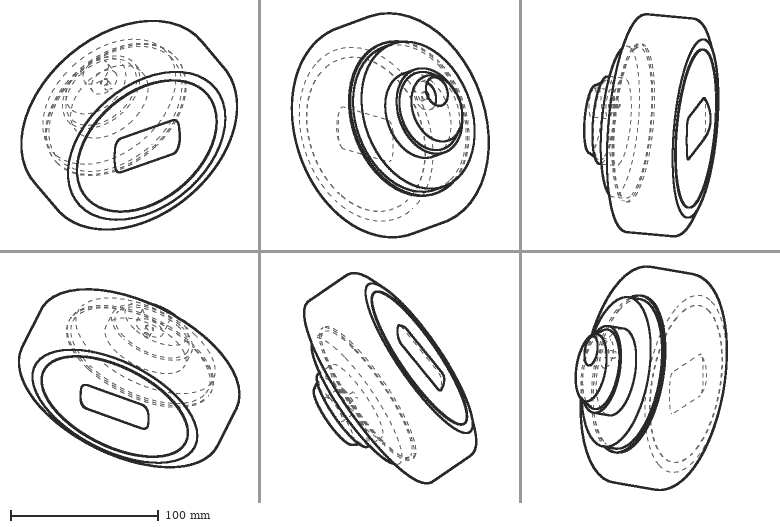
import cadquery as cq
import math

cone_end = 7.6
hub_end = 19.2
flange_end = 27.9
wheel_front = 29.2
wheel_back = 72.3
roller_tip = 77.5

cone_tip_radius = 23.2
cone_base_radius = 27.4
hub_radius = 30.0
flange_radius = 51.5
collar_radius = 54.1
wheel_radius = 74.5
back_face_radius = 61.0

front_rim_fillet = 2.0
back_rim_fillet = 4.5
bevel_start = 65.9

back_disc_height = 0.5

roller_radius = 26.1
roller_length = 50.0
roller_edge_fillet = 5.0

hole_offset = 12.0
counterbore_radius = 10.0
counterbore_depth = 11.9
pilot_radius = 2.5
pilot_chamfer = 0.5
pilot_depth = 6.0
drill_point_angle = 118.0


def disc(start, end, radius):
    """Cylinder about the X axis between two positions."""
    return cq.Workplane("YZ").workplane(offset=start).circle(radius).extrude(end - start)


def make_hub():
    """Tapered nose, hub, flange and thin collar in front of the wheel."""
    return (
        cq.Workplane("XY")
        .moveTo(0, 0)
        .lineTo(0, cone_tip_radius)
        .lineTo(cone_end, cone_base_radius)
        .lineTo(cone_end, hub_radius)
        .lineTo(hub_end, hub_radius)
        .lineTo(hub_end, flange_radius)
        .lineTo(flange_end, flange_radius)
        .lineTo(flange_end, collar_radius)
        .lineTo(wheel_front, collar_radius)
        .lineTo(wheel_front, 0)
        .close()
        .revolve(360, (0, 0, 0), (1, 0, 0))
    )


def make_wheel():
    """Wheel with a rounded front rim and a rounded, bevelled back rim."""
    wheel = (
        cq.Workplane("XY")
        .moveTo(wheel_front, 0)
        .lineTo(wheel_front, wheel_radius)
        .lineTo(bevel_start, wheel_radius)
        .lineTo(wheel_back, back_face_radius)
        .lineTo(wheel_back, 0)
        .close()
        .revolve(360, (0, 0, 0), (1, 0, 0))
    )
    wheel = wheel.faces("<X").edges().fillet(front_rim_fillet)
    back_edge = cq.selectors.BoxSelector(
        (bevel_start - 0.1, -wheel_radius - 1.5, -wheel_radius - 1.5),
        (bevel_start + 0.1, wheel_radius + 1.5, wheel_radius + 1.5),
    )
    wheel = wheel.edges("%CIRCLE").edges(back_edge).fillet(back_rim_fillet)
    return wheel.union(disc(wheel_back, wheel_back + back_disc_height, collar_radius))


def make_roller():
    """Round-edged roller whose axis runs along Y inside the wheel."""
    return (
        cq.Workplane("XZ")
        .center(roller_tip - roller_radius, 0)
        .circle(roller_radius)
        .extrude(roller_length / 2, both=True)
        .faces("<Y or >Y")
        .edges()
        .fillet(roller_edge_fillet)
    )


def make_hole():
    """Counterbore, chamfered pilot hole and conical drill point, revolved about the hole axis."""
    pilot_end = counterbore_depth + pilot_depth
    point_depth = pilot_radius / math.tan(math.radians(drill_point_angle / 2))
    return (
        cq.Workplane("XY")
        .moveTo(0, 0)
        .lineTo(0, counterbore_radius)
        .lineTo(counterbore_depth, counterbore_radius)
        .lineTo(counterbore_depth, pilot_radius + pilot_chamfer)
        .lineTo(counterbore_depth + pilot_chamfer, pilot_radius)
        .lineTo(pilot_end, pilot_radius)
        .lineTo(pilot_end + point_depth, 0)
        .close()
        .revolve(360, (0, 0, 0), (1, 0, 0))
        .translate((0, 0, hole_offset))
    )


result = make_hub().union(make_wheel()).union(make_roller()).cut(make_hole())